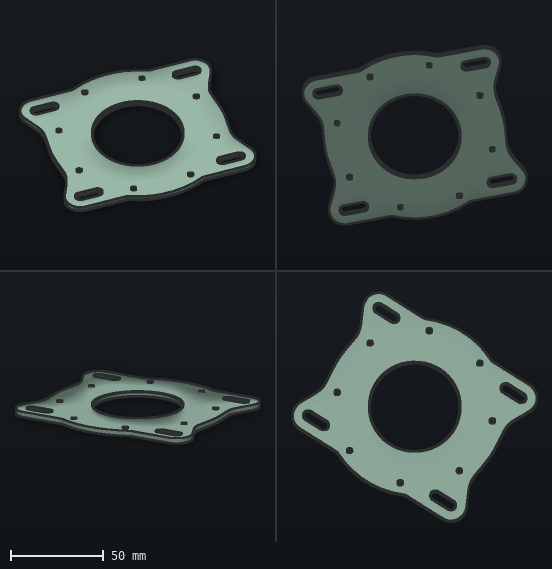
import cadquery as cq
import math

thickness = 3.0
disc_radius = 48.6
bore_diameter = 48.5
bore_chamfer = 0.5

slot_x = 35.1
half_width = 87.2 / 2
half_length = 108.3 / 2
lug_x = slot_x
lug_radius = half_width - lug_x
lug_y = half_length - lug_radius
lug_slope = math.radians(26)

side_blend_radius = 5.0
end_blend_radius = 15.0
crown_radius = 49.0
crown_half_width = 5.4

slot_width = 5.1
slot_length = 15.0
slot_chamfer = 0.2
slot_y = 40.7

ring_radius = 42.6
tapping_hole_diameter = 2.5
tapping_hole_chamfer = 0.25
plain_hole_diameter = 2.7
ring_pair_count = 4
ring_pair_angle = 360 / ring_pair_count
ring_start_angle = 22.1


def polar(center, radius, angle):
    """Point at an angle (radians from +X) on a circle."""
    return (center[0] + radius * math.cos(angle), center[1] + radius * math.sin(angle))


def quarter_plate():
    """The +X +Y quadrant of the plate, without holes."""
    origin = (0, 0)

    blend_x = half_width + side_blend_radius
    blend_y = math.sqrt((disc_radius + side_blend_radius) ** 2 - blend_x ** 2)
    side_center = (blend_x, blend_y)
    disc_exit = math.atan2(blend_y, blend_x)
    side_blend_mid = math.pi + disc_exit / 2

    lug_center = (lug_x, lug_y)
    flank_normal = math.pi / 2 + lug_slope
    flank_start = polar(lug_center, lug_radius, flank_normal)

    crown_slope = math.asin(crown_half_width / crown_radius)
    crown_normal = math.pi / 2 - crown_slope
    crown_start = polar(origin, crown_radius, crown_normal)

    flank_offset = (lug_x * math.cos(flank_normal) + lug_y * math.sin(flank_normal)
                    + lug_radius + end_blend_radius)
    crown_offset = crown_radius + end_blend_radius
    spread = math.sin(flank_normal - crown_normal)
    end_center = (
        (crown_offset * math.sin(flank_normal) - flank_offset * math.sin(crown_normal)) / spread,
        (flank_offset * math.cos(crown_normal) - crown_offset * math.cos(flank_normal)) / spread,
    )
    end_blend_mid = math.pi + (flank_normal + crown_normal) / 2

    return (
        cq.Workplane("XY")
        .lineTo(disc_radius, 0)
        .threePointArc(polar(origin, disc_radius, disc_exit / 2), polar(origin, disc_radius, disc_exit))
        .threePointArc(polar(side_center, side_blend_radius, side_blend_mid), (half_width, blend_y))
        .lineTo(half_width, lug_y)
        .threePointArc(polar(lug_center, lug_radius, flank_normal / 2), flank_start)
        .lineTo(*polar(end_center, end_blend_radius, math.pi + flank_normal))
        .threePointArc(
            polar(end_center, end_blend_radius, end_blend_mid),
            polar(end_center, end_blend_radius, math.pi + crown_normal),
        )
        .lineTo(*crown_start)
        .threePointArc(polar(origin, crown_radius, (crown_normal + math.pi / 2) / 2), (0, crown_radius))
        .close()
        .extrude(thickness)
    )


def full_plate():
    """Mirror the quadrant across both middle planes."""
    quarter = quarter_plate()
    half = quarter.union(quarter.mirror("YZ"))
    return half.union(half.mirror("XZ")).clean()


def through_hole(diameter):
    return cq.Workplane("XY").circle(diameter / 2).extrude(thickness)


def chamfer_cutter(diameter, width):
    """Cone that bevels the top rim of a vertical hole on the Z axis at 45 degrees."""
    radius = diameter / 2
    return cq.Workplane(cq.Solid.makeCone(radius, radius + width, width, cq.Vector(0, 0, thickness - width)))


def cut_bore(plate):
    """Central bore with the same chamfer on both faces."""
    top_chamfer = chamfer_cutter(bore_diameter, bore_chamfer)
    bottom_chamfer = top_chamfer.mirror("XY", (0, 0, thickness / 2))
    return plate.cut(through_hole(bore_diameter)).cut(top_chamfer).cut(bottom_chamfer)


def cut_on_ring(plate, cutter, start_angle):
    """Cut one quarter-turn pattern of a cutter placed around the bore."""
    for index in range(ring_pair_count):
        angle = math.radians(start_angle + index * ring_pair_angle)
        plate = plate.cut(cutter.translate((*polar((0, 0), ring_radius, angle), 0)))
    return plate


def cut_ring_holes(plate):
    tapping_hole = through_hole(tapping_hole_diameter).union(
        chamfer_cutter(tapping_hole_diameter, tapping_hole_chamfer)
    )
    plate = cut_on_ring(plate, tapping_hole, ring_start_angle)
    return cut_on_ring(plate, through_hole(plain_hole_diameter), ring_start_angle + ring_pair_angle / 2)


def cut_slots(plate):
    slot = cq.Workplane("XY").slot2D(slot_length, slot_width, 90).extrude(thickness)
    rim = (
        cq.Workplane("XY").workplane(offset=thickness)
        .slot2D(slot_length + 2 * slot_chamfer, slot_width + 2 * slot_chamfer, 90)
        .extrude(-slot_chamfer, taper=45)
    )
    cutter = slot.union(rim).union(rim.mirror("XY", (0, 0, thickness / 2)))
    for x in (-slot_x, slot_x):
        for y in (-slot_y, slot_y):
            plate = plate.cut(cutter.translate((x, y, 0)))
    return plate


result = full_plate()
result = cut_bore(result)
result = cut_slots(result)
result = cut_ring_holes(result)